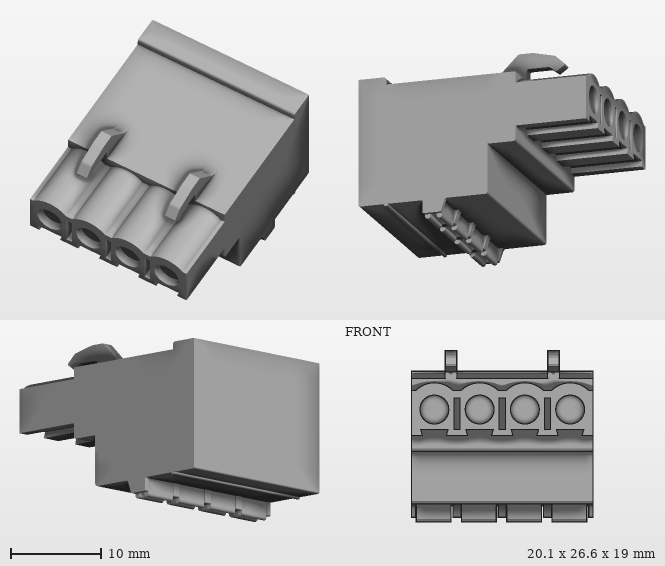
import cadquery as cq
import math


WIDTH = 20.1
DEPTH = 26.6
POLES = 4
PITCH = 5.0

HOUSING_FRONT = 8.27
LOWER_FRONT = 11.55
LOWER_STEP_Z = 5.77
SHOULDER_Z = 13.83
RIDGE_FRONT = 23.4
RIDGE_TOP = 14.68
EDGE_RADIUS = 0.3
BACK_EDGE_RADIUS = 0.19

SLEEVE_BOTTOM = 7.55
VALLEY_Z = 12.53
BORE_Z = 10.43
CROWN_RADIUS = 2.95
BORE_RADIUS = 1.6
BORE_DEPTH = 1.0
KEYWAY_TOP = 8.25
KEYWAY_TOP_WIDTH = 3.03
KEYWAY_BOTTOM_WIDTH = 2.65
SLOT_WIDTH = 0.7
SLOT_TOP = 11.73

LATCH_TOP = 16.97
LATCH_WIDTH = 1.3
LATCH_SPACING = 11.33
LATCH_HEEL = 13.17
LATCH_ROOT = 0.4
HEEL_RADIUS = 1.97
RAMP_ANGLE = 45
CREST_FRONT = 7.53
BROW = (4.9, 16.39)
TIP = (3.72, 15.3)
BARB = (4.8, 14.55)
BARB_HEEL = 5.59
LATCH_UNDERSIDE = 15.15
CREST_RADIUS = 0.37
CREST_FRONT_RADIUS = 2.13
BROW_RADIUS = 0.75
TIP_RADIUS = 0.15
BARB_RADIUS = 0.15
BARB_HEEL_RADIUS = 0.66
THROAT_RADIUS = 0.27

RIB_BACK = 19.15
RIB_FRONT_TOP = 16.5
RIB_FRONT_BOTTOM = 17.02
RIB_HEIGHT = 1.52
RIB_WIDTH = 0.93
RIB_EDGE_RADIUS = 0.15
RIB_ROOT_RADIUS = 0.32
RIB_ROOT_HEIGHT = 0.27
LEG_WIDTH = 3.88
LEG_THICKNESS = 0.65
LEG_HEIGHT = 2.02
LEG_SHIFT = -0.08
LEG_CENTRES = (17.35, 18.7)
BEAD_RADIUS = 0.25

pole_positions = [(i - (POLES - 1) / 2) * PITCH for i in range(POLES)]
gap_positions = [x + PITCH / 2 for x in pole_positions[:-1]]


def side_prism(points, width):
    """Closed (Y, Z) polygon extruded along X, centred on X = 0."""
    return cq.Workplane("YZ").polyline(points).close().extrude(width / 2, both=True)


def round_edge(prism, corner, radius):
    """Fillet the edge that runs along X through the (Y, Z) corner."""
    point = (0, corner[0], corner[1])
    return prism.edges("|X").edges(cq.selectors.NearestToPointSelector(point)).fillet(radius)


def make_housing():
    """Stepped block with a ridge along the top of the back edge."""
    outline = [
        (DEPTH, 0),
        (DEPTH, RIDGE_TOP),
        (RIDGE_FRONT, RIDGE_TOP),
        (RIDGE_FRONT, SHOULDER_Z),
        (HOUSING_FRONT, SHOULDER_Z),
        (HOUSING_FRONT, LOWER_STEP_Z),
        (LOWER_FRONT, LOWER_STEP_Z),
        (LOWER_FRONT, 0),
    ]
    housing = side_prism(outline, WIDTH)
    housing = round_edge(housing, (RIDGE_FRONT, RIDGE_TOP), EDGE_RADIUS)
    housing = round_edge(housing, (HOUSING_FRONT, LOWER_STEP_Z), EDGE_RADIUS)
    housing = round_edge(housing, (LOWER_FRONT, 0), EDGE_RADIUS)
    return round_edge(housing, (DEPTH, 0), BACK_EDGE_RADIUS)


def make_sleeve():
    """Block in front of the housing with a rounded crown over each pole."""
    sleeve = cq.Workplane("XY").box(
        WIDTH, HOUSING_FRONT, VALLEY_Z - SLEEVE_BOTTOM, centered=(True, False, False)
    )
    sleeve = sleeve.translate((0, 0, SLEEVE_BOTTOM))
    crown_z = BORE_Z + CROWN_RADIUS
    half_chord = math.sqrt(CROWN_RADIUS**2 - (VALLEY_Z - BORE_Z) ** 2)
    half_top = KEYWAY_TOP_WIDTH / 2
    half_bottom = KEYWAY_BOTTOM_WIDTH / 2
    for x in pole_positions:
        crown = (
            cq.Workplane("XZ")
            .moveTo(x - half_chord, VALLEY_Z)
            .threePointArc((x, crown_z), (x + half_chord, VALLEY_Z))
            .close()
            .extrude(-HOUSING_FRONT)
        )
        bore = cq.Workplane("XZ").center(x, BORE_Z).circle(BORE_RADIUS).extrude(-BORE_DEPTH)
        keyway = (
            cq.Workplane("XZ")
            .polyline([
                (x - half_top, KEYWAY_TOP),
                (x + half_top, KEYWAY_TOP),
                (x + half_bottom, SLEEVE_BOTTOM),
                (x - half_bottom, SLEEVE_BOTTOM),
            ])
            .close()
            .extrude(-HOUSING_FRONT)
        )
        sleeve = sleeve.union(crown).cut(bore).cut(keyway)
    slot_height = SLOT_TOP - KEYWAY_TOP
    for x in gap_positions:
        slot = cq.Workplane("XY").box(
            SLOT_WIDTH, HOUSING_FRONT, slot_height, centered=(True, False, False)
        )
        sleeve = sleeve.cut(slot.translate((x, 0, KEYWAY_TOP)))
    return sleeve


def make_latch(x_centre):
    """Hook that ramps up from the shoulder and overhangs the sleeve."""

    def heel_arc_point(angle):
        """Point on the heel arc after it has turned up by angle degrees."""
        turn = math.radians(angle)
        return (
            LATCH_HEEL - HEEL_RADIUS * math.sin(turn),
            SHOULDER_Z + HEEL_RADIUS * (1 - math.cos(turn)),
        )

    arc_middle = heel_arc_point(RAMP_ANGLE / 2)
    ramp_start = heel_arc_point(RAMP_ANGLE)
    ramp_run = (LATCH_TOP - ramp_start[1]) / math.tan(math.radians(RAMP_ANGLE))
    crest_back = (ramp_start[0] - ramp_run, LATCH_TOP)
    crest_front = (CREST_FRONT, LATCH_TOP)
    throat = (HOUSING_FRONT, LATCH_UNDERSIDE)
    barb_heel = (BARB_HEEL, LATCH_UNDERSIDE)
    latch = (
        cq.Workplane("YZ")
        .moveTo(LATCH_HEEL, SHOULDER_Z)
        .threePointArc(arc_middle, ramp_start)
        .lineTo(*crest_back)
        .lineTo(*crest_front)
        .lineTo(*BROW)
        .lineTo(*TIP)
        .lineTo(*BARB)
        .lineTo(*barb_heel)
        .lineTo(*throat)
        .lineTo(HOUSING_FRONT, SHOULDER_Z - LATCH_ROOT)
        .lineTo(LATCH_HEEL, SHOULDER_Z - LATCH_ROOT)
        .close()
        .extrude(LATCH_WIDTH / 2, both=True)
    )
    rounded_corners = [
        (crest_back, CREST_RADIUS),
        (crest_front, CREST_FRONT_RADIUS),
        (BROW, BROW_RADIUS),
        (TIP, TIP_RADIUS),
        (BARB, BARB_RADIUS),
        (barb_heel, BARB_HEEL_RADIUS),
        (throat, THROAT_RADIUS),
    ]
    for corner, radius in rounded_corners:
        latch = round_edge(latch, corner, radius)
    return latch.translate((x_centre, 0, 0))


def make_ribs():
    """Full-width rib, cut away at each pole so only the stretches between them stay.

    Its root is sunk into the housing and runs forward enough to carry the root fillet.
    """
    root_front = RIB_FRONT_TOP - 2 * RIB_ROOT_RADIUS
    outline = [
        (RIB_BACK, RIB_ROOT_HEIGHT),
        (RIB_BACK, -RIB_HEIGHT),
        (RIB_FRONT_BOTTOM, -RIB_HEIGHT),
        (RIB_FRONT_TOP, 0),
        (root_front, 0),
        (root_front, RIB_ROOT_HEIGHT),
    ]
    ribs = side_prism(outline, WIDTH)
    ribs = round_edge(ribs, (RIB_BACK, -RIB_HEIGHT), RIB_EDGE_RADIUS)
    ribs = round_edge(ribs, (RIB_FRONT_BOTTOM, -RIB_HEIGHT), RIB_EDGE_RADIUS)
    ribs = round_edge(ribs, (RIB_FRONT_TOP, 0), RIB_ROOT_RADIUS)
    for x in pole_positions:
        gap = cq.Workplane("XY").box(
            PITCH - RIB_WIDTH, DEPTH, RIB_HEIGHT, centered=(True, False, False)
        )
        ribs = ribs.cut(gap.translate((x, 0, -RIB_HEIGHT)))
    return ribs


def make_leg(x_centre, y_centre):
    """Flat leg with a half-round lower end."""
    half = LEG_THICKNESS / 2
    leg = (
        cq.Workplane("YZ")
        .moveTo(y_centre - half, 0)
        .lineTo(y_centre - half, half - LEG_HEIGHT)
        .threePointArc((y_centre, -LEG_HEIGHT), (y_centre + half, half - LEG_HEIGHT))
        .lineTo(y_centre + half, 0)
        .close()
        .extrude(LEG_WIDTH / 2, both=True)
    )
    return leg.translate((x_centre, 0, 0))


def make_bead():
    """Half-round bead across the underside, in line with the front of the ridge."""
    section = cq.Workplane("YZ").center(RIDGE_FRONT, 0).circle(BEAD_RADIUS)
    return section.extrude(WIDTH / 2, both=True)


result = make_housing()
for latch_x in (-LATCH_SPACING / 2, LATCH_SPACING / 2):
    result = result.union(make_latch(latch_x))
result = result.union(make_sleeve()).union(make_ribs()).union(make_bead())
for pole_x in pole_positions:
    for leg_y in LEG_CENTRES:
        result = result.union(make_leg(pole_x + LEG_SHIFT, leg_y))